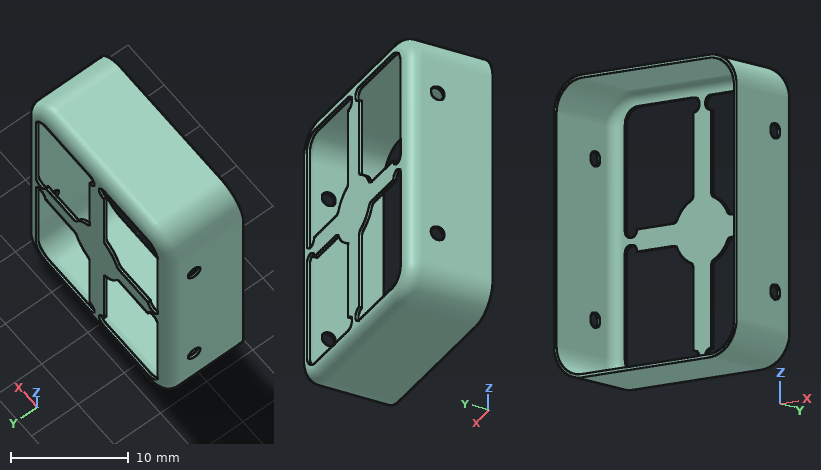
import cadquery as cq

width = 19.8
depth = 8.1
height = 26.3
corner_radius = 3.0
wall = 0.3
floor_edge_radius = 1.3

window_margin = 1.5
spoke_width = 1.95
hub_radius = 3.0
hub_fillet = 0.5
notch_radius = 0.65

hole_diameter = 1.32
hole_spacing = 14.0
hole_from_floor = 2.8

window_width = width - 2 * window_margin
window_height = height - 2 * window_margin
floor_inside = depth - wall


def rounded_block(inset, y_start, y_end):
    """Block along Y, inset evenly from the outer outline."""
    return (
        cq.Workplane("XZ", origin=(0, y_start, 0))
        .rect(width - 2 * inset, height - 2 * inset)
        .extrude(y_start - y_end)
        .edges("|Y")
        .fillet(corner_radius - inset)
    )


def make_shell():
    outer = rounded_block(0, 0, depth).faces(">Y").edges().fillet(floor_edge_radius)
    cavity = rounded_block(wall, 0, floor_inside)
    cavity = cavity.faces(">Y").edges().fillet(floor_edge_radius - wall)
    return outer.cut(cavity)


def floor_sketch():
    return cq.Workplane("XZ", origin=(0, floor_inside, 0))


def make_cross():
    """Hub and four spokes, each spoke necked by two round notches at its outer end."""
    upright = floor_sketch().rect(spoke_width, window_height).extrude(-wall)
    crossbar = floor_sketch().rect(window_width, spoke_width).extrude(-wall)
    hub = floor_sketch().circle(hub_radius).extrude(-wall)
    cross = upright.union(crossbar).union(hub)

    near_hub = cq.selectors.BoxSelector(
        (-hub_radius, 0, -hub_radius), (hub_radius, depth, hub_radius)
    )
    cross = cross.edges("|Y").edges(near_hub).fillet(hub_fillet)

    side = spoke_width / 2
    reach_x = window_width / 2 - notch_radius
    reach_z = window_height / 2 - notch_radius
    notch_centers = []
    for sx in (-1, 1):
        for sz in (-1, 1):
            notch_centers.append((sx * side, sz * reach_z))
            notch_centers.append((sx * reach_x, sz * side))
    notches = floor_sketch().pushPoints(notch_centers).circle(notch_radius).extrude(-wall)
    return cross.cut(notches)


def make_side_holes():
    """Two holes through both X walls."""
    return (
        cq.Workplane("YZ", origin=(-width, 0, 0))
        .pushPoints([(depth - hole_from_floor, sz * hole_spacing / 2) for sz in (-1, 1)])
        .circle(hole_diameter / 2)
        .extrude(2 * width)
    )


window = rounded_block(window_margin, floor_inside - wall, depth + wall)
result = make_shell().cut(window).union(make_cross()).cut(make_side_holes())